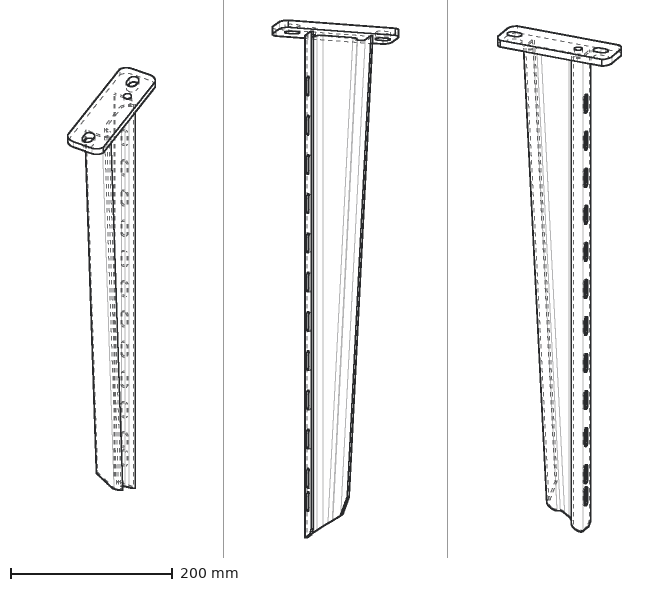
import cadquery as cq
import math

plate_width = 50.0
plate_length = 155.0
plate_thickness = 9.0
total_height = 648.0
corner_radius = 13.5
corner_inset = 12.0
bolt_slot_width = 13.0
bolt_slot_length = 19.0
bolt_slot_places = (56.5, -61.5)
drain_hole_diameter = 10.0
drain_hole_x = 7.0
drain_hole_y = 29.0

sheet = 2.5
bend_inner_radius = 4.85
bend_outer_radius = bend_inner_radius + sheet
bend_step_angle = 65.0
step_length = 5.0
rear_y = 36.0
arm_top_depth = 80.5
front_lean = 3.0
flange_edge_x = -14.0
flange_bend_x = 10.0
arm_top_z = total_height - plate_thickness

slot_width = 8.5
slot_length = 24.5
slot_x = -0.5
slot_pitch = 50.0
pitched_slots = 11
lowest_slot_z = 43.5
first_pitched_slot_z = 73.0

web_cut_slope = 0.68
lip_cut_slope = 0.75
flange_chamfer = 6.0
cut_reach = 65.0

turn = math.radians(bend_step_angle)
outer_bend_y = rear_y - bend_outer_radius
web_bend_x = (flange_bend_x + (bend_outer_radius + bend_inner_radius) * math.cos(turn)
              - step_length * math.sin(turn))
web_bend_y = (outer_bend_y - (bend_outer_radius + bend_inner_radius) * math.sin(turn)
              - step_length * math.cos(turn))
web_x = web_bend_x - bend_outer_radius
bend_depth = rear_y - web_bend_y
front_top_y = rear_y - arm_top_depth
lean = math.radians(front_lean)


def polar(x, y, radius, angle):
    """Point on a circle about (x, y)."""
    return (x + radius * math.cos(angle), y + radius * math.sin(angle))


def bent_flange():
    """Vertical flange with its outer bend, step and web bend, ending square at the web."""
    middle = (math.pi / 2 - turn) / 2
    web_middle = math.pi - turn / 2

    def outer_bend(radius, angle):
        return polar(flange_bend_x, outer_bend_y, radius, angle)

    def web_bend(radius, angle):
        return polar(web_bend_x, web_bend_y, radius, angle)

    profile = (
        cq.Workplane("XY")
        .moveTo(flange_edge_x, rear_y)
        .lineTo(flange_bend_x, rear_y)
        .threePointArc(outer_bend(bend_outer_radius, middle), outer_bend(bend_outer_radius, -turn))
        .lineTo(*web_bend(bend_inner_radius, math.pi - turn))
        .threePointArc(web_bend(bend_inner_radius, web_middle), web_bend(bend_inner_radius, math.pi))
        .lineTo(web_x, web_bend_y)
        .threePointArc(web_bend(bend_outer_radius, web_middle),
                       web_bend(bend_outer_radius, math.pi - turn))
        .lineTo(*outer_bend(bend_inner_radius, -turn))
        .threePointArc(outer_bend(bend_inner_radius, middle), outer_bend(bend_inner_radius, math.pi / 2))
        .lineTo(flange_edge_x, rear_y - sheet)
        .close()
    )
    return profile.extrude(total_height)


def leaning_flange():
    """Mirror image of the rear flange, leaning so that the arm narrows downwards."""
    flange = bent_flange().translate((0, -rear_y, 0)).mirror("XZ")
    flange = flange.translate((0, 0, -total_height / 2))
    flange = flange.rotate((0, 0, 0), (1, 0, 0), front_lean)
    drop = arm_top_z - total_height / 2
    return flange.translate((0, front_top_y + drop * math.tan(lean), total_height / 2))


def web():
    """Flat tapering sheet between the two web bends."""
    front_bend_y = front_top_y + bend_depth / math.cos(lean)
    front_bottom_y = front_bend_y + arm_top_z * math.tan(lean)
    return (
        cq.Workplane("YZ", origin=(web_x, 0, 0))
        .polyline([(web_bend_y, 0), (web_bend_y, arm_top_z),
                   (front_bend_y, arm_top_z), (front_bottom_y, 0)])
        .close()
        .extrude(sheet)
    )


def web_end_cut():
    """Sloping cut below the bends and the web; the flat of the rear flange is spared."""
    rise = arm_top_depth * web_cut_slope
    wedge = (
        cq.Workplane("YZ", origin=(flange_edge_x, 0, 0))
        .polyline([(rear_y, 0), (rear_y, -cut_reach), (front_top_y, -cut_reach), (front_top_y, rise)])
        .close()
        .extrude(cut_reach)
    )
    spared = (
        cq.Workplane("XY")
        .box(flange_bend_x - flange_edge_x, sheet, total_height, centered=False)
        .translate((flange_edge_x, rear_y - sheet, 0))
    )
    return wedge.cut(spared)


def front_lip_cut():
    """Sloping cut that shortens the front flange towards its free edge."""
    front_bottom_y = front_top_y + arm_top_z * math.tan(lean)
    bend_z = (rear_y - front_bottom_y) * web_cut_slope
    edge_z = bend_z + (flange_bend_x - flange_edge_x) * lip_cut_slope
    return (
        cq.Workplane("XZ", origin=(0, front_bottom_y + sheet, 0))
        .polyline([(flange_bend_x, 0), (flange_bend_x, bend_z), (flange_edge_x, edge_z), (flange_edge_x, 0)])
        .close()
        .extrude(cut_reach)
    )


def rear_slots():
    """Row of evenly pitched slots, and one more close below it."""
    heights = [lowest_slot_z]
    heights += [first_pitched_slot_z + i * slot_pitch for i in range(pitched_slots)]
    return (
        cq.Workplane("XZ", origin=(0, rear_y, 0))
        .pushPoints([(slot_x, z) for z in heights])
        .slot2D(slot_length, slot_width, 90)
        .extrude(sheet)
    )


def rear_corner_cut():
    """Chamfer at the lower free corner of the rear flange."""
    return (
        cq.Workplane("XZ", origin=(0, rear_y, 0))
        .polyline([(flange_edge_x, 0), (flange_edge_x + flange_chamfer, 0), (flange_edge_x, flange_chamfer)])
        .close()
        .extrude(sheet)
    )


def make_arm():
    """Complete bent sheet, ending at the underside of the plate."""
    envelope = (
        cq.Workplane("XY")
        .box(plate_width, plate_length, arm_top_z, centered=(True, True, False))
    )
    arm = bent_flange().union(web()).union(leaning_flange()).intersect(envelope)
    arm = arm.cut(web_end_cut()).cut(front_lip_cut())
    return arm.cut(rear_slots()).cut(rear_corner_cut()).clean()


def make_plate():
    """Rounded plate, trimmed along both long sides, with two bolt slots and a small hole."""
    blank_width = plate_width + 2 * (corner_radius - corner_inset)
    plate = (
        cq.Workplane("XY", origin=(0, 0, arm_top_z))
        .rect(blank_width, plate_length)
        .extrude(plate_thickness)
        .edges("|Z")
        .fillet(corner_radius)
    )
    side_trim = (
        cq.Workplane("XY", origin=(0, 0, arm_top_z))
        .rect(plate_width, plate_length)
        .extrude(plate_thickness)
    )
    bolt_slots = (
        cq.Workplane("XY", origin=(0, 0, arm_top_z))
        .pushPoints([(0, y) for y in bolt_slot_places])
        .slot2D(bolt_slot_length, bolt_slot_width, 90)
        .extrude(plate_thickness)
    )
    drain_hole = (
        cq.Workplane("XY", origin=(drain_hole_x, drain_hole_y, arm_top_z))
        .circle(drain_hole_diameter / 2)
        .extrude(plate_thickness)
    )
    return plate.intersect(side_trim).cut(bolt_slots).cut(drain_hole)


arm = make_arm()
plate = make_plate()
result = cq.Compound.makeCompound([arm.val(), plate.val()])